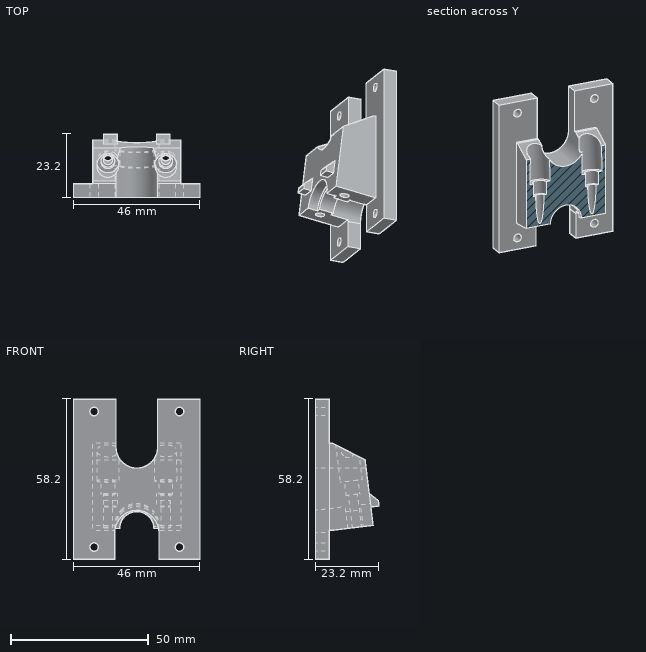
import cadquery as cq
import math

PLATE_WIDTH = 46.0
PLATE_HEIGHT = 58.2
PLATE_THICKNESS = 5.1
PLATE_HOLE_DIAMETER = 3.0
PLATE_HOLE_SPACING_X = 31.0
PLATE_HOLE_SPACING_Z = 49.2
PLATE_HOLE_EDGE_OFFSET = 4.5

TILT = 7.0
BLOCK_WIDTH = 32.0
BLOCK_BASE_END_Y = 6.1
BACK_CORNER_Y = 21.0
BACK_CORNER_Z = 12.35
BACK_FACE_LENGTH = 24.0
TOP_SLOPE = 27.0

CHANNEL_RADIUS = 7.5
CHANNEL_CENTER_Z = 40.7

BORE_RADIUS = 8.0
NECK_RADIUS = 6.15
REAR_RECESS_DEPTH = 3.7
NECK_LENGTH = 5.6

SCREW_SPACING = 21.0
SCREW_BACK_OFFSET = 5.95
SCREW_DIAMETER = 3.3
SLEEVE_DIAMETER = 5.0
HEAD_DIAMETER = 8.0
SLEEVE_FLOOR_HEIGHT = 12.0
HEAD_FLOOR_HEIGHT = 17.0

CATCH_SPACING = 19.2
CATCH_WIDTH = 5.0
CATCH_BASE_HEIGHT = 6.7
CATCH_ROOT_LENGTH = 5.0
CATCH_REACH = 3.0
CATCH_TIP_LENGTH = 2.0

CLEARANCE = 60.0

tilt_sin = math.sin(math.radians(TILT))
tilt_cos = math.cos(math.radians(TILT))


def tilted_point(out, up):
    """(Y, Z) of a point 'out' from the back face and 'up' along it from its lower edge."""
    return (
        BACK_CORNER_Y + out * tilt_cos - up * tilt_sin,
        BACK_CORNER_Z + out * tilt_sin + up * tilt_cos,
    )


def extrude_profile(points, width, center_x=0.0):
    """Prism of the given (Y, Z) outline, centred on center_x."""
    plane = cq.Workplane("YZ", origin=(center_x, 0, 0))
    return plane.polyline(points).close().extrude(width / 2, both=True)


def make_plate():
    plate = cq.Workplane("XY").box(
        PLATE_WIDTH, PLATE_THICKNESS, PLATE_HEIGHT, centered=(True, False, False)
    )
    hole_center_z = PLATE_HOLE_EDGE_OFFSET + PLATE_HOLE_SPACING_Z / 2
    holes = (
        cq.Workplane("XZ", origin=(0, 0, hole_center_z))
        .rarray(PLATE_HOLE_SPACING_X, PLATE_HOLE_SPACING_Z, 2, 2)
        .circle(PLATE_HOLE_DIAMETER / 2)
        .extrude(-PLATE_THICKNESS)
    )
    return plate.cut(holes)


def make_block():
    lower_back = tilted_point(0, 0)
    upper_back = tilted_point(0, BACK_FACE_LENGTH)
    base_bottom_z = lower_back[1] - (lower_back[0] - BLOCK_BASE_END_Y) * math.tan(math.radians(TILT))
    base_top_z = upper_back[1] + (upper_back[0] - BLOCK_BASE_END_Y) * math.tan(math.radians(TOP_SLOPE))
    outline = [
        (0, base_bottom_z),
        (BLOCK_BASE_END_Y, base_bottom_z),
        lower_back,
        upper_back,
        (BLOCK_BASE_END_Y, base_top_z),
        (0, base_top_z),
    ]
    return extrude_profile(outline, BLOCK_WIDTH)


def make_catch(center_x):
    """Wedge whose root is buried in the block as deep as the catch reaches out."""
    base = CATCH_BASE_HEIGHT
    outline = [
        tilted_point(-CATCH_REACH, base),
        tilted_point(CATCH_REACH, base),
        tilted_point(CATCH_REACH, base + CATCH_TIP_LENGTH),
        tilted_point(0, base + CATCH_ROOT_LENGTH),
        tilted_point(-CATCH_REACH, base + CATCH_ROOT_LENGTH),
    ]
    return extrude_profile(outline, CATCH_WIDTH, center_x)


def make_channel():
    top_z = CHANNEL_CENTER_Z + CLEARANCE
    return (
        cq.Workplane("XZ")
        .moveTo(-CHANNEL_RADIUS, top_z)
        .lineTo(-CHANNEL_RADIUS, CHANNEL_CENTER_Z)
        .threePointArc((0, CHANNEL_CENTER_Z - CHANNEL_RADIUS), (CHANNEL_RADIUS, CHANNEL_CENTER_Z))
        .lineTo(CHANNEL_RADIUS, top_z)
        .close()
        .extrude(-CLEARANCE)
    )


def tilted_cylinder(radius, out, length):
    """Cylinder square to the back face, starting 'out' from it and running toward the plate."""
    start_y, start_z = tilted_point(out, 0)
    start = cq.Vector(0, start_y, start_z)
    return cq.Workplane(cq.Solid.makeCylinder(radius, length, start, cq.Vector(0, -tilt_cos, -tilt_sin)))


def make_stepped_bore():
    rear = tilted_cylinder(BORE_RADIUS, 0, REAR_RECESS_DEPTH)
    neck = tilted_cylinder(NECK_RADIUS, 0, CLEARANCE)
    front = tilted_cylinder(BORE_RADIUS, -(REAR_RECESS_DEPTH + NECK_LENGTH), CLEARANCE)
    return rear.union(neck).union(front)


def make_plate_slot():
    """Straight slot joining the bore to the bottom edge of the plate."""
    axis_z_at_plate = BACK_CORNER_Z - BACK_CORNER_Y * math.tan(math.radians(TILT))
    return cq.Workplane("XY").box(
        2 * BORE_RADIUS, BLOCK_BASE_END_Y, axis_z_at_plate, centered=(True, False, False)
    )


def make_screw_hole(center_x):
    direction = cq.Vector(0, -tilt_sin, tilt_cos)
    steps = [
        (SCREW_DIAMETER, 0),
        (SLEEVE_DIAMETER, SLEEVE_FLOOR_HEIGHT),
        (HEAD_DIAMETER, HEAD_FLOOR_HEIGHT),
    ]
    hole = cq.Workplane("XY")
    for diameter, floor_height in steps:
        floor_y, floor_z = tilted_point(-SCREW_BACK_OFFSET, floor_height)
        floor = cq.Vector(center_x, floor_y, floor_z)
        hole = hole.union(cq.Workplane(cq.Solid.makeCylinder(diameter / 2, CLEARANCE, floor, direction)))
    return hole


block = make_block()
for side in (-1, 1):
    block = block.cut(make_screw_hole(side * SCREW_SPACING / 2))
    block = block.union(make_catch(side * CATCH_SPACING / 2))

result = make_plate().union(block)
result = result.cut(make_channel()).cut(make_stepped_bore()).cut(make_plate_slot())